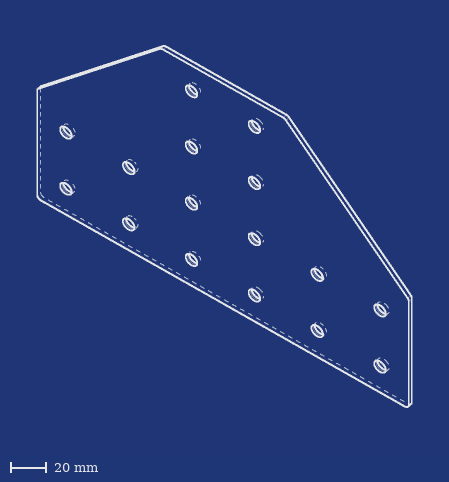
import cadquery as cq

length = 266.0
height = 176.0
thickness = 3.0
corner_cut = 88.8
corner_radius = 3.0

pitch = 45.0
hole_diameter = 8.2
wide_columns = 6
narrow_columns = 2
rows_per_group = 2

half_length = length / 2
half_height = height / 2
half_top = half_length - corner_cut
shoulder_z = half_height - corner_cut


def make_plate():
    """Plate in the XZ plane with a tapered top and rounded corners."""
    outline = [
        (-half_length, -half_height),
        (half_length, -half_height),
        (half_length, shoulder_z),
        (half_top, half_height),
        (-half_top, half_height),
        (-half_length, shoulder_z),
    ]
    plate = cq.Workplane("XZ").polyline(outline).close().extrude(thickness / 2, both=True)
    return plate.edges("|Y").fillet(corner_radius)


def drill_group(plate, columns, center_z):
    """Drill a rectangular group of through holes centred at the given height."""
    holes = (
        cq.Workplane("XZ")
        .center(0, center_z)
        .rarray(pitch, pitch, columns, rows_per_group)
        .circle(hole_diameter / 2)
        .extrude(thickness, both=True)
    )
    return plate.cut(holes)


plate = make_plate()
plate = drill_group(plate, wide_columns, -pitch)
result = drill_group(plate, narrow_columns, pitch)